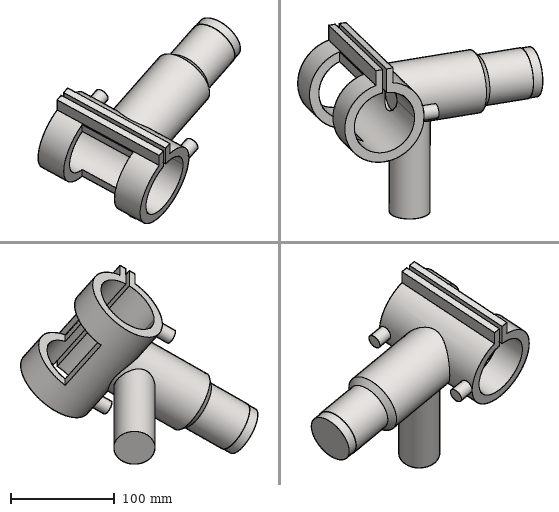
import cadquery as cq

clamp_length = 120.0
ring_radius = 41.5
bore_radius = 31.5

lug_top = 56.0
lugs_width = 18.0
slit_width = 4.0

window_length = 59.5
window_face_y = -10.0

total_length = 221.5
arm_radius = 31.0
neck_radius = 25.0
shoulder_chamfer = arm_radius - neck_radius
neck_length = 45.6

head_radius = 24.5
head_length = 10.0
stem_radius = 15.0

leg_radius = 20.0
leg_y = 51.0
leg_bottom = -125.4

peg_radius = 7.2
peg_end = 57.0
peg_x = clamp_length / 2 - peg_radius

arm_end = total_length - ring_radius - head_length
shoulder_y = arm_end - neck_length
arm_full_end = shoulder_y - shoulder_chamfer


def rod_along_y(radius, start, end, x=0):
    """Round rod parallel to Y, from start to end."""
    axis = cq.Vector(0, 1, 0)
    return cq.Workplane(cq.Solid.makeCylinder(radius, end - start, cq.Vector(x, start, 0), axis))


def rod_along_x(radius):
    """Round rod on the clamp axis, as long as the clamp."""
    return cq.Workplane("YZ").circle(radius).extrude(clamp_length / 2, both=True)


def make_arm():
    """Stepped round arm with a conical shoulder."""
    profile = [
        (0, 0),
        (arm_radius, 0),
        (arm_radius, arm_full_end),
        (neck_radius, shoulder_y),
        (neck_radius, arm_end),
        (0, arm_end),
    ]
    return cq.Workplane("XY").polyline(profile).close().revolve(360, (0, 0, 0), (0, 1, 0))


def make_housing():
    """Clamp ring, lugs, arm, leg and pegs in one body."""
    lugs = cq.Workplane("XY").box(clamp_length, lugs_width, lug_top, centered=(True, True, False))
    leg = cq.Workplane("XY").center(0, leg_y).circle(leg_radius).extrude(leg_bottom)
    body = rod_along_x(ring_radius).union(lugs).union(make_arm()).union(leg)
    for x in (-peg_x, peg_x):
        body = body.union(rod_along_y(peg_radius, 0, peg_end, x))

    slit = cq.Workplane("XY").box(clamp_length, slit_width, lug_top, centered=(True, True, False))
    window = (
        cq.Workplane("XY")
        .box(window_length, ring_radius, 2 * ring_radius)
        .translate((0, window_face_y - ring_radius / 2, 0))
    )
    stem_hole = rod_along_y(stem_radius, 0, arm_end)
    return body.cut(rod_along_x(bore_radius)).cut(slit).cut(window).cut(stem_hole)


def make_plug():
    """Head seated on the arm end, with a stem reaching the clamp bore."""
    head = rod_along_y(head_radius, arm_end, arm_end + head_length)
    stem = rod_along_y(stem_radius, bore_radius, arm_end)
    return head.union(stem)


housing = make_housing()
plug = make_plug()

result = cq.Compound.makeCompound([*housing.solids().vals(), *plug.solids().vals()])